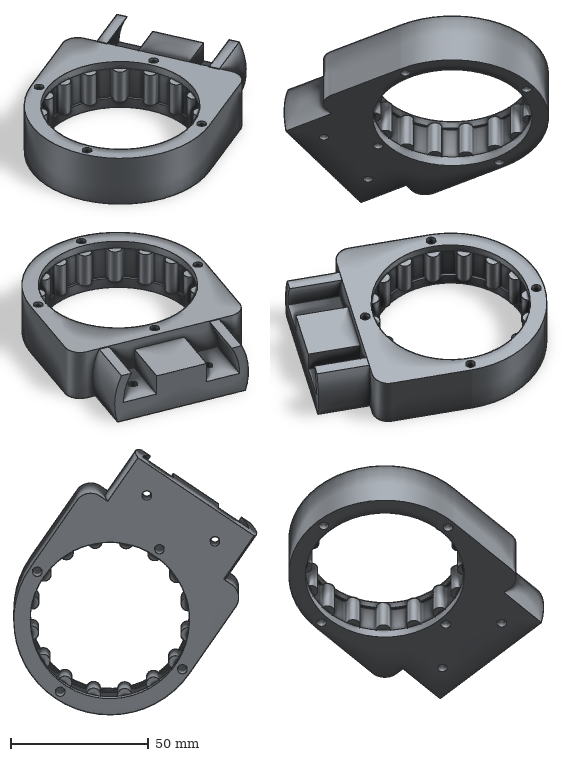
import cadquery as cq
import math

housing_width = 70.0
housing_radius = housing_width / 2
height = 20.0
overall_length = 90.5
back_face_y = 36.0
back_corner_radius = 6.0

bore_radius = 29.0
groove_radius = 30.0
groove_floor_z = 4.0
groove_roof_z = 17.0
pin_count = 16
pin_radius = 2.5
pin_circle_radius = bore_radius
pin_root_fillet = 1.0

hole_diameter = 3.4
ring_hole_count = 4
ring_hole_circle_radius = (housing_radius + bore_radius) / 2

cradle_end_y = overall_length - housing_radius
cradle_top_z = 19.7
cradle_axis_z = 8.0
cradle_outer_radius = 26.8
cradle_inner_radius = 23.3
block_width = 20.0
block_top_z = 15.8
cradle_hole_spacing = 30.05


def make_housing():
    """D-shaped plate with a round front and two rounded back corners."""
    outline = (
        cq.Workplane("XY")
        .moveTo(-housing_radius, 0)
        .threePointArc((0, -housing_radius), (housing_radius, 0))
        .lineTo(housing_radius, back_face_y)
        .lineTo(-housing_radius, back_face_y)
        .close()
    )
    return outline.extrude(height).edges("|Z and >Y").fillet(back_corner_radius)


def make_bore():
    """Plain bore above and below the groove, joined by the groove space left around the pins."""
    lower_bore = cq.Workplane("XY").circle(bore_radius).extrude(groove_floor_z)
    upper_bore = (
        cq.Workplane("XY", origin=(0, 0, groove_roof_z))
        .circle(bore_radius)
        .extrude(height - groove_roof_z)
    )
    groove_plane = cq.Workplane("XY", origin=(0, 0, groove_floor_z))
    groove_depth = groove_roof_z - groove_floor_z
    groove = groove_plane.circle(groove_radius).extrude(groove_depth)
    pin = groove_plane.center(pin_circle_radius, 0).circle(pin_radius).extrude(groove_depth)
    for index in range(pin_count):
        groove = groove.cut(pin.rotate((0, 0, 0), (0, 0, 1), index * 360 / pin_count))
    groove = groove.edges("|Z").fillet(pin_root_fillet)
    return groove.union(lower_bore).union(upper_bore)


def make_ring_holes():
    return (
        cq.Workplane("XY")
        .polarArray(ring_hole_circle_radius, 0, 360, ring_hole_count)
        .circle(hole_diameter / 2)
        .extrude(height)
    )


def make_cradle():
    """Trough with curved side walls and a flat floor level with the trough axis."""
    def wall_half_width(radius, z):
        return math.sqrt(radius**2 - (z - cradle_axis_z) ** 2)

    bottom_x = wall_half_width(cradle_outer_radius, 0)
    outer_top_x = wall_half_width(cradle_outer_radius, cradle_top_z)
    inner_top_x = wall_half_width(cradle_inner_radius, cradle_top_z)
    mid_wall_z = (cradle_axis_z + cradle_top_z) / 2
    inner_mid_x = wall_half_width(cradle_inner_radius, mid_wall_z)
    block_x = block_width / 2

    profile = (
        cq.Workplane("XZ", origin=(0, cradle_end_y, 0))
        .moveTo(-bottom_x, 0)
        .lineTo(bottom_x, 0)
        .threePointArc((cradle_outer_radius, cradle_axis_z), (outer_top_x, cradle_top_z))
        .lineTo(inner_top_x, cradle_top_z)
        .threePointArc((inner_mid_x, mid_wall_z), (cradle_inner_radius, cradle_axis_z))
        .lineTo(block_x, cradle_axis_z)
        .lineTo(block_x, block_top_z)
        .lineTo(-block_x, block_top_z)
        .lineTo(-block_x, cradle_axis_z)
        .lineTo(-cradle_inner_radius, cradle_axis_z)
        .threePointArc((-inner_mid_x, mid_wall_z), (-inner_top_x, cradle_top_z))
        .lineTo(-outer_top_x, cradle_top_z)
        .threePointArc((-cradle_outer_radius, cradle_axis_z), (-bottom_x, 0))
        .close()
    )
    return profile.extrude(cradle_end_y - back_face_y)


def make_cradle_holes():
    middle_y = (back_face_y + cradle_end_y) / 2
    return (
        cq.Workplane("XY")
        .pushPoints([(side * cradle_hole_spacing / 2, middle_y) for side in (-1, 1)])
        .circle(hole_diameter / 2)
        .extrude(height)
    )


housing = make_housing().cut(make_bore()).cut(make_ring_holes())
cradle = make_cradle().cut(make_cradle_holes())
result = housing.union(cradle)